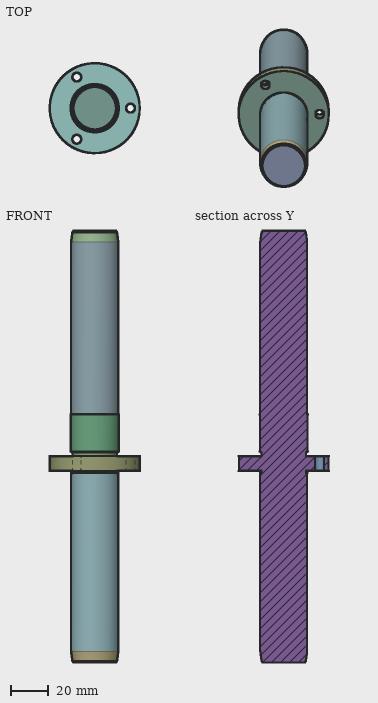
import cadquery as cq

total_length = 230.0
shaft_radius = 12.6
seat_radius = 12.9

taper_length = 6.0
taper_tip_radius = 12.0
tip_chamfer_height = 1.0
tip_chamfer_width = 0.7

flange_diameter = 48.0
flange_bottom = 102.1
flange_thickness = 7.8
flange_top = flange_bottom + flange_thickness
hole_count = 3
hole_diameter = 4.5
hole_circle_radius = 19.0

seat_top = 132.5
seat_chamfer_height = 0.5
relief_radius = 12.0
upper_relief_height = 1.8
lower_relief_height = 1.2
relief_chamfer_height = 0.7


def make_turned_body():
    """Revolve the half profile, given as (radius, height) from the bottom up."""
    tip_radius = taper_tip_radius - tip_chamfer_width
    upper_relief_top = flange_top + upper_relief_height
    profile = [
        (0, 0),
        (tip_radius, 0),
        (taper_tip_radius, tip_chamfer_height),
        (shaft_radius, taper_length),
        (shaft_radius, flange_bottom - lower_relief_height),
        (relief_radius, flange_bottom - lower_relief_height),
        (relief_radius, flange_bottom),
        (flange_diameter / 2, flange_bottom),
        (flange_diameter / 2, flange_top),
        (relief_radius, flange_top),
        (relief_radius, upper_relief_top),
        (seat_radius, upper_relief_top + relief_chamfer_height),
        (seat_radius, seat_top - seat_chamfer_height),
        (shaft_radius, seat_top),
        (shaft_radius, total_length - taper_length),
        (taper_tip_radius, total_length - tip_chamfer_height),
        (tip_radius, total_length),
        (0, total_length),
    ]
    half_section = cq.Workplane("XZ").polyline(profile).close()
    return half_section.revolve(360, (0, 0, 0), (0, 1, 0))


def make_flange_holes():
    """Through holes evenly spaced around the flange, the first one on +X."""
    return (
        cq.Workplane("XY", origin=(0, 0, flange_bottom))
        .polarArray(hole_circle_radius, 0, 360, hole_count)
        .circle(hole_diameter / 2)
        .extrude(flange_thickness)
    )


result = make_turned_body().cut(make_flange_holes())